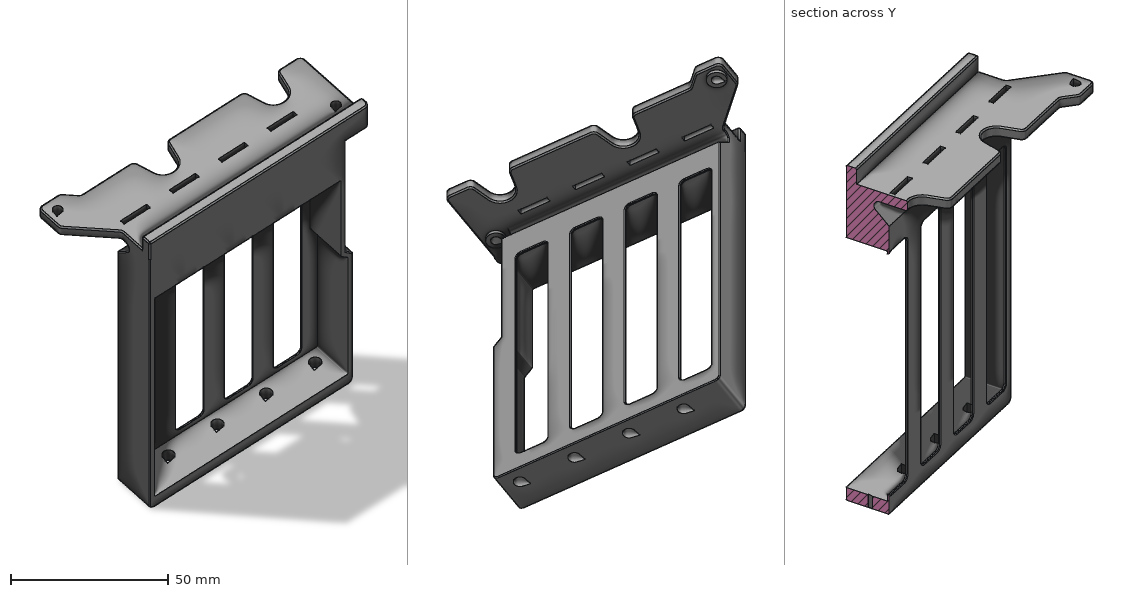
import cadquery as cq
import math

total_height = 128.26
plate_tail_y = -105.5
plate_tail_x = -38.68

plate_chamfer = 0.5
frame_chamfer = 0.35
corner_radius = 2.0
bevel_tangent = corner_radius * math.tan(math.pi / 8)

clearance = 1.0

frame_depth = 16.0
frame_near_y = -91.5
frame_far_y = -7.0
frame_upper_far_y = -10.0
frame_step_z = 61.7
wall = 2.0
floor_top = 5.0
grille_thickness = 0.8
cavity_radius = 0.6

slot_count = 4
slot_pitch = 20.32

window_width = 12.4
window_chamfer = 0.3
window_bottom = 6.7
window_top = 100.4
first_window_y = -21.4

plate_top = 122.26
plate_thickness = 4.0
plate_bottom = plate_top - plate_thickness
plate_left_x = -34.0
tail_shoulder_y = -96.2
tail_near_x = -27.8
frame_top = plate_top - plate_thickness / 2
tail_slope = frame_near_y - plate_tail_y

upstand_thickness = 4.0

recess_slope_bottom = 110.3
recess_slope_angle = math.radians(42)

notch_radius = 5.0
notch_half_angle = math.radians(15)
notch_centre_x = -27.75
notch_centres_y = (-16.8, -62.7)

tab_slot_width = 1.8
tab_slot_length = 10.8
tab_slot_x = -16.5
first_tab_slot_y = -22.6

mount_hole_radius = 1.7
mount_boss_radius = 3.3
mount_boss_height = 1.2
mount_points = ((-10.8, -5.0), (-33.9, -101.2))

screw_hole_radius = 2.1
screw_hole_x = -10.6
first_screw_hole_y = -13.8

point_reach = 1.65


def box(x_range, y_range, z_range):
    """Box spanning the given coordinate ranges."""
    size = [high - low for low, high in (x_range, y_range, z_range)]
    return cq.Workplane("XY").box(*size, centered=False).translate((x_range[0], y_range[0], z_range[0]))


def along_slots(first_y):
    """Y positions of a feature that repeats once per expansion slot."""
    return [first_y - index * slot_pitch for index in range(slot_count)]


def teardrop(centre, radius, bottom, top):
    """Vertical round cutter with a point toward +X and -Y."""
    reach = radius * point_reach
    tangent_angle = math.acos(radius / reach)
    point_angle = -math.pi / 4

    def polar(distance, angle):
        return (centre[0] + distance * math.cos(angle), centre[1] + distance * math.sin(angle))

    return (
        cq.Workplane("XY", origin=(0, 0, bottom))
        .moveTo(*polar(reach, point_angle))
        .lineTo(*polar(radius, point_angle + tangent_angle))
        .threePointArc(polar(radius, point_angle + math.pi), polar(radius, point_angle - tangent_angle))
        .close()
        .extrude(top - bottom)
    )


def frame_outline(step_z, inset, bottom, top):
    """Closed YZ outline of the frame, moved inward by an inset."""
    step = frame_far_y - frame_upper_far_y
    lower_y = frame_far_y - inset
    upper_y = lower_y - step
    near_y = frame_near_y + inset
    return [
        (near_y, bottom),
        (lower_y, bottom),
        (lower_y, step_z),
        (upper_y, step_z + step),
        (upper_y, top),
        (near_y, top),
    ]


def make_recess(left_x):
    """Cutter for the space under the plate, rounded where its slope meets the plate."""
    rise = plate_bottom - recess_slope_bottom
    corner_x = rise / math.tan(recess_slope_angle) - frame_depth
    front_x = -frame_depth - clearance
    front_z = recess_slope_bottom - clearance * math.tan(recess_slope_angle)
    wedge = (
        cq.Workplane("XZ")
        .moveTo(front_x, plate_bottom)
        .lineTo(front_x, front_z)
        .lineTo(corner_x, plate_bottom)
        .close()
        .extrude(-frame_near_y)
        .edges("|Y and >X")
        .fillet(corner_radius)
    )
    above_wedge = box((front_x, left_x), (frame_near_y, 0), (plate_bottom, plate_top))
    return wedge.union(above_wedge)


def make_frame():
    """Solid block of the frame, rising into the plate, with its outer edges chamfered."""
    block = (
        cq.Workplane("YZ", origin=(-frame_depth, 0, 0))
        .polyline(frame_outline(frame_step_z, 0, 0, frame_top))
        .close()
        .extrude(frame_depth)
        .edges("|X and <Z")
        .fillet(corner_radius)
    )
    neck_x = tail_near_x + tail_slope + bevel_tangent
    block = block.cut(make_recess(neck_x))

    end_edges = cq.StringSyntaxSelector("not (|X or |Y)")
    bottom_edges = cq.StringSyntaxSelector("|Y and <Z")
    neck_edges = cq.selectors.BoxSelector(
        (neck_x - frame_chamfer, frame_near_y - clearance, plate_bottom),
        (neck_x + frame_chamfer, 0, frame_top),
    )
    return block.edges(end_edges + bottom_edges - neck_edges).chamfer(frame_chamfer)


def make_cavity():
    """Cutter that hollows the frame from the back, leaving a wall all round and the grille."""
    inner_step_z = frame_step_z - wall * math.tan(math.pi / 8)
    return (
        cq.Workplane("YZ", origin=(grille_thickness - frame_depth, 0, 0))
        .polyline(frame_outline(inner_step_z, wall, floor_top, window_top))
        .close()
        .extrude(frame_depth)
        .edges("|X")
        .fillet(cavity_radius)
    )


def make_notch(centre_y):
    """Cutter for a round-ended notch that widens toward the left plate edge."""
    tangent_x = notch_centre_x + notch_radius * math.sin(notch_half_angle)
    tangent_rise = notch_radius * math.cos(notch_half_angle)
    mouth_rise = tangent_rise + (tangent_x - plate_tail_x) * math.tan(notch_half_angle)
    return (
        cq.Workplane("XY", origin=(0, centre_y, plate_bottom))
        .moveTo(plate_tail_x, mouth_rise)
        .lineTo(tangent_x, tangent_rise)
        .threePointArc((notch_centre_x + notch_radius, 0), (tangent_x, -tangent_rise))
        .lineTo(plate_tail_x, -mouth_rise)
        .close()
        .extrude(plate_thickness)
    )


def make_plate():
    """Horizontal plate with its tail, notches, rounded corners and chamfered rim."""
    plate_back_x = -upstand_thickness / 2
    shoulder = plate_left_x - plate_tail_x
    plate = (
        cq.Workplane("XY", origin=(0, 0, plate_bottom))
        .moveTo(plate_back_x, 0)
        .lineTo(plate_left_x, 0)
        .lineTo(plate_left_x, tail_shoulder_y + shoulder)
        .lineTo(plate_tail_x, tail_shoulder_y)
        .lineTo(plate_tail_x, plate_tail_y)
        .lineTo(tail_near_x, plate_tail_y)
        .lineTo(tail_near_x + tail_slope, frame_near_y)
        .lineTo(plate_back_x, frame_near_y)
        .close()
        .extrude(plate_thickness)
    )
    for centre_y in notch_centres_y:
        plate = plate.cut(make_notch(centre_y))
    notch_ends = cq.selectors.BoxSelector(
        (notch_centre_x - notch_radius, notch_centres_y[1] - 2 * notch_radius, plate_bottom),
        (notch_centre_x + notch_radius, notch_centres_y[0] + 2 * notch_radius, plate_top),
    )
    corners = cq.StringSyntaxSelector("|Z and (not >X)")
    plate = plate.edges(corners - notch_ends).fillet(corner_radius)
    return plate.faces("<Z or >Z").edges("not >X").chamfer(plate_chamfer)


def make_upstand():
    """Lip rising along the back edge of the plate, starting at the plate's underside."""
    lip = box((-upstand_thickness, 0), (frame_near_y, 0), (plate_bottom, total_height))
    lip = lip.edges("|Z and >X and >Y").fillet(corner_radius)
    sharp_uprights = cq.StringSyntaxSelector("|Z and (<X or <Y)")
    top_edges = cq.StringSyntaxSelector("(not |Z) and >Z")
    return lip.edges(sharp_uprights + top_edges).chamfer(plate_chamfer)


def make_windows():
    """Cutters for the tall rounded windows in the grille, flared at the front face."""
    height = window_top - window_bottom
    centres = [(y, window_bottom + height / 2) for y in along_slots(first_window_y)]
    return (
        cq.Workplane("YZ", origin=(-frame_depth, 0, 0))
        .pushPoints(centres)
        .rect(window_width - 2 * window_chamfer, height - 2 * window_chamfer)
        .extrude(grille_thickness)
        .edges("|X")
        .fillet(corner_radius)
    )


def make_tab_slots():
    """Cutters for the narrow slots through the plate."""
    return (
        cq.Workplane("XY", origin=(0, 0, plate_bottom))
        .pushPoints([(tab_slot_x, y) for y in along_slots(first_tab_slot_y)])
        .rect(tab_slot_width, tab_slot_length)
        .extrude(plate_thickness)
    )


def make_bosses():
    """Round pads under the plate at the mounting holes."""
    return (
        cq.Workplane("XY", origin=(0, 0, plate_bottom - mount_boss_height))
        .pushPoints(mount_points)
        .circle(mount_boss_radius)
        .extrude(mount_boss_height)
    )


def flare_windows(frame):
    """Frame with the front rims of its windows chamfered."""
    rims = cq.selectors.BoxSelector(
        (-frame_depth - clearance, frame_near_y + clearance, floor_top),
        (-frame_depth + window_chamfer, frame_upper_far_y - clearance, window_top + clearance),
    )
    return frame.edges(rims).chamfer(window_chamfer)


def cut_mounting_holes(body):
    """Body with pointed holes through the plate and its bosses."""
    for point in mount_points:
        body = body.cut(teardrop(point, mount_hole_radius, plate_bottom - mount_boss_height, plate_top))
    return body


def cut_screw_holes(body):
    """Body with one pointed hole through the floor per slot."""
    for y in along_slots(first_screw_hole_y):
        body = body.cut(teardrop((screw_hole_x, y), screw_hole_radius, 0, floor_top))
    return body


frame = flare_windows(make_frame().cut(make_cavity()).cut(make_windows()))
bracket = frame.union(make_plate()).union(make_upstand()).union(make_bosses())
bracket = bracket.cut(make_tab_slots())
result = cut_screw_holes(cut_mounting_holes(bracket))